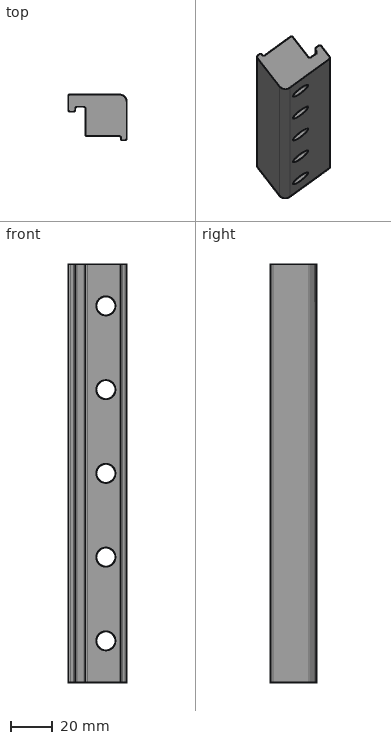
import cadquery as cq

width = 28.0
depth = 22.0
length = 200.0

arm_thickness = 6.0
hook_depth = 8.5
hook_width = 3.5
body_left = 8.2
body_depth = 20.0
lip_width = 2.8

back_corner_radius = 3.5
back_left_radius = 0.8
edge_radius = 1.0
lip_radius = 0.5
body_radius = 0.8
inner_radius = 0.8

hole_diameter = 9.0
hole_count = 5
hole_pitch = length / hole_count
hole_x = 18.0

lip_left = width - lip_width


def vertical_edge(body, x, y):
    """Select the full-length edge through the profile corner (x, y)."""
    return body.edges(cq.selectors.NearestToPointSelector((x, y, length / 2)))


def make_rail():
    profile = [
        (0, 0),
        (width, 0),
        (width, -depth),
        (lip_left, -depth),
        (lip_left, -body_depth),
        (body_left, -body_depth),
        (body_left, -arm_thickness),
        (hook_width, -arm_thickness),
        (hook_width, -hook_depth),
        (0, -hook_depth),
    ]
    return cq.Workplane("XY").polyline(profile).close().extrude(length)


def finish_edges(body):
    rounded_corners = [
        (0, 0, back_left_radius),
        (width, 0, back_corner_radius),
        (lip_left, -body_depth, inner_radius),
        (body_left, -arm_thickness, inner_radius),
        (hook_width, -arm_thickness, inner_radius),
        (width, -depth, edge_radius),
        (lip_left, -depth, lip_radius),
        (0, -hook_depth, edge_radius),
        (hook_width, -hook_depth, edge_radius),
        (body_left, -body_depth, body_radius),
    ]
    for x, y, radius in rounded_corners:
        body = vertical_edge(body, x, y).fillet(radius)
    return body


def drill_holes(body):
    for index in range(hole_count):
        hole_z = (index + 0.5) * hole_pitch
        hole = (
            cq.Workplane("XZ")
            .center(hole_x, hole_z)
            .circle(hole_diameter / 2)
            .extrude(depth)
        )
        body = body.cut(hole)
    return body


result = drill_holes(finish_edges(make_rail()))